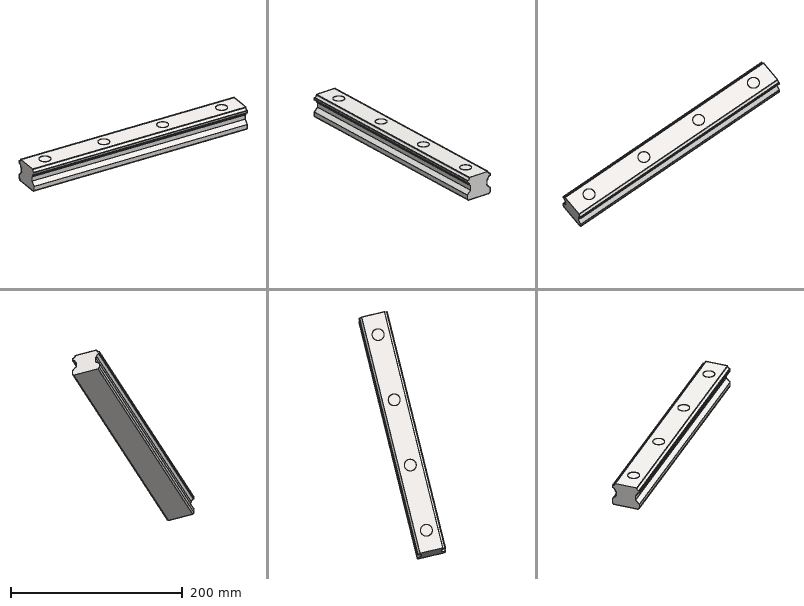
import cadquery as cq

width = 34.0
length = 290.0
height = 29.0

base_chamfer = 1.7
base_side_top = 7.2

waist_half_width = 12.2
waist_top = 17.7
waist_shoulder = 1.5

head_half_width = 13.5
head_wall = 1.0
head_side_bottom = 22.5
head_side_top = 25.5
head_ledge = 1.0
upper_groove_sag = 0.44
lower_groove_sag = 0.72

seat_count = 4
seat_pitch = 80.0
seat_diameter = 14.0
seat_depth = 0.3

half_width = width / 2
waist_bottom = base_side_top + half_width - waist_half_width


def half_section():
    """Right half of the cross-section in XZ, closed on the centre plane."""
    return (
        cq.Workplane("XZ")
        .moveTo(0, 0)
        .lineTo(half_width - base_chamfer, 0)
        .lineTo(half_width, base_chamfer)
        .lineTo(half_width, base_side_top)
        .lineTo(waist_half_width, waist_bottom)
        .lineTo(waist_half_width, waist_top)
        .lineTo(waist_half_width + waist_shoulder, waist_top + waist_shoulder)
        .sagittaArc((half_width - head_ledge, head_side_bottom), lower_groove_sag)
        .lineTo(half_width, head_side_bottom)
        .lineTo(half_width, head_side_top)
        .lineTo(half_width - head_ledge, head_side_top)
        .sagittaArc((head_half_width, height - head_wall), upper_groove_sag)
        .lineTo(head_half_width, height)
        .lineTo(0, height)
        .close()
    )


def seats():
    """Row of discs to cut from the top face, centred along the length."""
    return (
        cq.Workplane("XY", origin=(0, 0, height))
        .rarray(3, seat_pitch, 1, seat_count)
        .circle(seat_diameter / 2)
        .extrude(-seat_depth)
    )


right_half = half_section().extrude(length / 2, both=True)
rail = right_half.union(right_half.mirror("YZ")).clean()
result = rail.cut(seats())